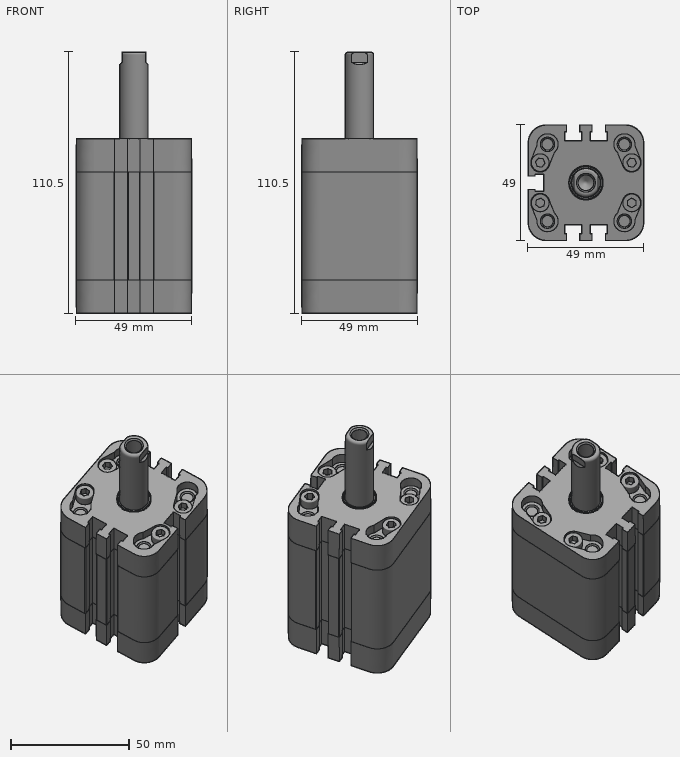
import cadquery as cq
import math

body_width = 49.0
corner_radius = 7.7
total_height = 110.5
cap_height = 14.1
barrel_length = 45.6
cap_draft_angle = 0.4

barrel_bottom = cap_height
barrel_top = barrel_bottom + barrel_length
body_top = barrel_top + cap_height

slot_offset = 5.4
slot_opening_width = 5.5
slot_inner_width = 7.1
slot_lip_depth = 3.0
slot_depth = 6.6
slot_edge_chamfer = 0.3

mount_seat_offset = 16.2
screw_x = 19.3
screw_y = 8.5
pocket_depth = 4.5
pocket_mount_diameter = 9.0
pocket_screw_diameter = 8.0
mount_seat_diameter = 4.9
mount_seat_mouth_diameter = 6.1
screw_head_diameter = 7.5
screw_head_recess = 0.7
screw_head_fillet = 0.2
hex_across_flats = 3.5
hex_depth = 3.3
screw_corners = [(-1, -1, 22), (1, -1, 30), (1, 1, -8), (-1, 1, -8)]

rod_diameter = 12.0
rod_tip_fillet = 1.2
rod_flat_width = 10.1
rod_flat_length = 4.3
rod_bore_diameter = 6.6
rod_bore_mouth_diameter = 8.0
rod_bore_depth = 13.3
drill_point_angle = 118.0

rod_hole_diameter = 12.5
wiper_lip_diameter = 13.7
wiper_groove_diameter = 14.6
wiper_groove_depth = 0.7


def cylinder(diameter, bottom, top):
    """Upright cylinder on the Z axis."""
    return cq.Workplane("XY").workplane(offset=bottom).circle(diameter / 2).extrude(top - bottom)


def cone(bottom_diameter, top_diameter, bottom, top):
    """Upright cone or cone frustum on the Z axis."""
    return cq.Workplane(
        cq.Solid.makeCone(bottom_diameter / 2, top_diameter / 2, top - bottom, cq.Vector(0, 0, bottom))
    )


def mouth_chamfer(hole_diameter, mouth_diameter, top):
    """45-degree cutter that widens a hole to its mouth."""
    depth = (mouth_diameter - hole_diameter) / 2
    return cone(hole_diameter, mouth_diameter, top - depth, top)


def slot_cutter(edge_chamfer):
    """T-slot in the -Y face at X = 0, over the full body height."""
    face = -body_width / 2
    lip = face + slot_lip_depth
    floor = face + slot_depth
    opening = slot_opening_width / 2
    inner = slot_inner_width / 2
    right_side = [(opening, lip), (inner, lip), (inner, floor)]
    if edge_chamfer:
        right_side = [(opening + edge_chamfer, face), (opening, face + edge_chamfer)] + right_side
    else:
        right_side = [(opening, face)] + right_side
    left_side = [(-x, y) for x, y in reversed(right_side)]
    return cq.Workplane("XY").polyline(right_side + left_side).close().extrude(body_top)


def cut_slots(body, edge_chamfer=0):
    """Cut two T-slots in each of the -Y and +Y faces and one in the -X face."""
    slot = slot_cutter(edge_chamfer)
    for side in (-1, 1):
        front_slot = slot.translate((side * slot_offset, 0, 0))
        back_slot = front_slot.mirror("XZ")
        body = body.cut(front_slot).cut(back_slot)
    return body.cut(slot.rotate((0, 0, 0), (0, 0, 1), -90))


def body_section(z):
    """Rounded square section of the body at height z."""
    sketch = cq.Sketch().rect(body_width, body_width).vertices().fillet(corner_radius)
    return cq.Workplane("XY").workplane(offset=z).placeSketch(sketch)


def make_barrel():
    """Extruded barrel with chamfered slot edges."""
    barrel = body_section(barrel_bottom).extrude(barrel_length)
    return cut_slots(barrel, slot_edge_chamfer)


def make_rear_cap():
    """Plain cap that narrows downwards."""
    cap = body_section(0).extrude(cap_height, taper=cap_draft_angle)
    cap = cap.mirror("XY").translate((0, 0, cap_height))
    return cut_slots(cap)


def make_pocket(x_side, y_side):
    """Round pocket over the mounting seat, joined to a straight slot that ends round the screw."""
    mount_x = x_side * mount_seat_offset
    mount_y = y_side * mount_seat_offset
    span_x = x_side * screw_x - mount_x
    span_y = y_side * screw_y - mount_y
    span = math.hypot(span_x, span_y)
    slot = (
        cq.Workplane("XY")
        .center(span / 2, 0)
        .slot2D(span + pocket_screw_diameter, pocket_screw_diameter)
        .extrude(pocket_depth)
        .rotate((0, 0, 0), (0, 0, 1), math.degrees(math.atan2(span_y, span_x)))
    )
    round_end = cylinder(pocket_mount_diameter, 0, pocket_depth)
    return round_end.union(slot).translate((mount_x, mount_y, body_top - pocket_depth))


def make_mount_seat():
    """Cutter for a shallow conical seat in the pocket floor."""
    return mouth_chamfer(mount_seat_diameter, mount_seat_mouth_diameter, body_top - pocket_depth)


def make_screw_head(hex_turn):
    """Socket screw head that stands on the pocket floor."""
    top = body_top - screw_head_recess
    head = cylinder(screw_head_diameter, body_top - pocket_depth, top)
    head = head.faces(">Z").edges().fillet(screw_head_fillet)
    hex_across_corners = hex_across_flats / math.cos(math.pi / 6)
    socket = (
        cq.Workplane("XY")
        .workplane(offset=top - hex_depth)
        .polygon(6, hex_across_corners)
        .extrude(hex_depth)
        .rotate((0, 0, 0), (0, 0, 1), hex_turn)
    )
    return head.cut(socket)


def make_rod_opening():
    """Cutter for the rod hole and for the narrow groove that leaves a wiper lip around it."""
    hole = cylinder(rod_hole_diameter, barrel_top, body_top)
    groove_floor = body_top - wiper_groove_depth
    groove = cylinder(wiper_groove_diameter, groove_floor, body_top)
    lip = cylinder(wiper_lip_diameter, groove_floor, body_top)
    return hole.union(groove.cut(lip))


def make_front_cap():
    """Cap that narrows upwards, with the rod opening, four pockets and their screw heads."""
    cap = body_section(barrel_top).extrude(cap_height, taper=cap_draft_angle)
    cap = cut_slots(cap).cut(make_rod_opening())
    for x_side, y_side, hex_turn in screw_corners:
        mount_place = (x_side * mount_seat_offset, y_side * mount_seat_offset, 0)
        screw_place = (x_side * screw_x, y_side * screw_y, 0)
        cap = cap.cut(make_pocket(x_side, y_side))
        cap = cap.cut(make_mount_seat().translate(mount_place))
        cap = cap.union(make_screw_head(hex_turn).translate(screw_place))
    return cap


def make_flat_cutter():
    """Cutter on the +X side of the rod tip: a wrench flat that runs out at 45 degrees."""
    flat = rod_flat_width / 2
    flat_bottom = total_height - rod_flat_length
    outside = rod_diameter
    profile = [
        (flat, total_height),
        (flat, flat_bottom),
        (outside, flat_bottom - (outside - flat)),
        (outside, total_height),
    ]
    return cq.Workplane("XZ").polyline(profile).close().extrude(rod_diameter / 2, both=True)


def make_rod():
    """Rod that stands on the barrel and has a rounded tip, two wrench flats and a drilled bore."""
    rod = cylinder(rod_diameter, barrel_top, total_height)
    rod = rod.faces(">Z").edges().fillet(rod_tip_fillet)
    flat_cutter = make_flat_cutter()
    rod = rod.cut(flat_cutter).cut(flat_cutter.mirror("YZ"))

    bore_bottom = total_height - rod_bore_depth
    point_depth = rod_bore_diameter / 2 / math.tan(math.radians(drill_point_angle / 2))
    bore = cylinder(rod_bore_diameter, bore_bottom, total_height)
    drill_point = cone(0, rod_bore_diameter, bore_bottom - point_depth, bore_bottom)
    chamfer = mouth_chamfer(rod_bore_diameter, rod_bore_mouth_diameter, total_height)
    return rod.cut(bore).cut(drill_point).cut(chamfer)


barrel = make_barrel().solids()
rear_cap = make_rear_cap().solids()
front_cap = make_front_cap().solids()
piston_rod = make_rod().solids()

result = cq.Compound.makeCompound([barrel.val(), rear_cap.val(), front_cap.val(), piston_rod.val()])